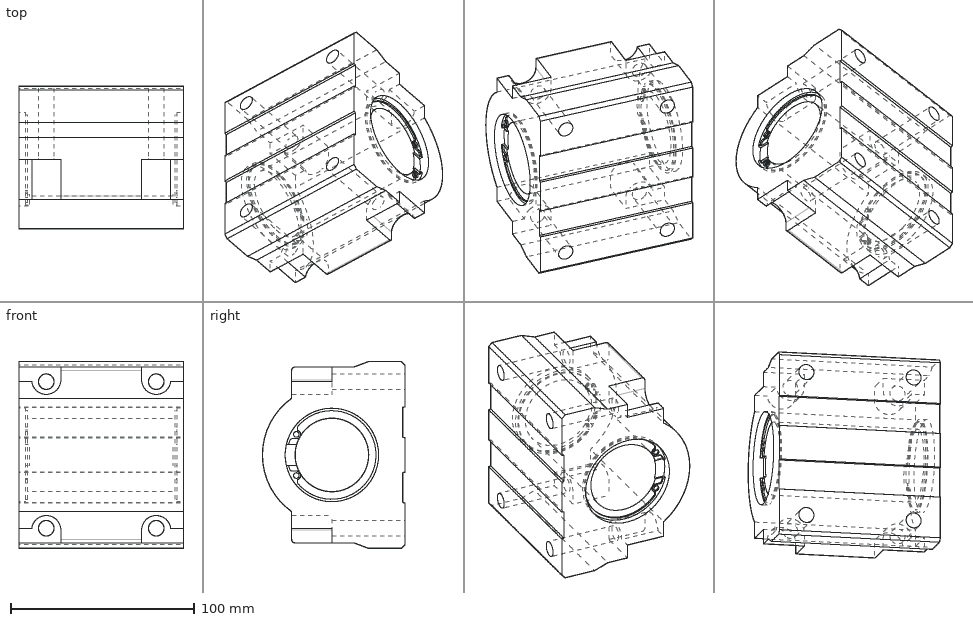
import cadquery as cq
import math

length = 90.0
height = 102.0
back_y = 40.0
back_chamfer = 2.0

flange_height = 96.1
flange_front_y = -22.0
flange_edge_radius = 2.0
taper_back_y = 20.0
taper_front_y = 12.0

nose_radius = 37.9

groove_inner_z = 9.7
groove_outer_z = 25.9
groove_depth = 1.2
groove_flank = 0.3

hole_diameter = 8.4
hole_x = 30.0
hole_z = 40.0
pocket_radius = 8.0
pocket_center_z = 41.0
pocket_floor_y = 0.0

bore_diameter = 40.0
recess_diameter = 51.0
recess_depth = 4.7

ring_thickness = 0.9
ring_inner_radius = 24.2
ring_inner_y = -0.1
ring_gap = 11.5
lug_inner_y = -18.8
lug_y = -19.4
lug_z = 11.2
lug_radius = 2.3
lug_hole_diameter = 3.1
lug_blend_radius = 1.4

slot_depth = 1.0

recess_radius = recess_diameter / 2
recess_floor_x = -length / 2 + recess_depth


def box_between(x_range, y_range, z_range):
    """Axis-aligned box given by its limits along each axis."""
    size_x, size_y, size_z = (high - low for low, high in (x_range, y_range, z_range))
    corner = (x_range[0], y_range[0], z_range[0])
    return cq.Workplane("XY").box(size_x, size_y, size_z, centered=False).translate(corner)


def disc(radius, start_x, thickness, y=0.0, z=0.0):
    """Cylinder along +X, starting at start_x."""
    return cq.Workplane("YZ", origin=(start_x, y, z)).circle(radius).extrude(thickness)


def make_housing():
    top_z = height / 2
    flange_z = flange_height / 2
    nose_z = math.sqrt(nose_radius**2 - flange_front_y**2)
    upper_side = [
        (back_y, top_z - back_chamfer),
        (back_y - back_chamfer, top_z),
        (taper_back_y, top_z),
        (taper_front_y, flange_z),
        (flange_front_y, flange_z),
        (flange_front_y, nose_z),
    ]
    lower_side = [(y, -z) for y, z in reversed(upper_side)]
    profile = (
        cq.Workplane("YZ", origin=(-length / 2, 0, 0))
        .polyline(upper_side)
        .threePointArc((-nose_radius, 0), lower_side[0])
        .polyline(lower_side, includeCurrent=False)
        .close()
    )
    housing = profile.extrude(length)
    for side in (1, -1):
        corner = (0, flange_front_y, side * flange_z)
        housing = housing.edges(cq.selectors.NearestToPointSelector(corner)).fillet(flange_edge_radius)
    return housing


def make_back_groove(side):
    floor_y = back_y - groove_depth
    section = [
        (back_y, side * (groove_inner_z - groove_flank)),
        (floor_y, side * groove_inner_z),
        (floor_y, side * groove_outer_z),
        (back_y, side * (groove_outer_z + groove_flank)),
    ]
    return cq.Workplane("YZ", origin=(-length / 2, 0, 0)).polyline(section).close().extrude(length)


def make_screw_seat(x_side, z_side):
    """Through hole with a round-bottomed head pocket, open to the end and to the flange top."""
    x = x_side * hole_x
    outer_z = z_side * height / 2
    pocket_y = (flange_front_y, pocket_floor_y)
    x_end = x_side * length / 2
    x_wall = x_side * (hole_x - pocket_radius)
    plane = cq.Workplane("XZ", origin=(0, flange_front_y, 0))
    depth = pocket_floor_y - flange_front_y
    round_bottom = plane.center(x, z_side * pocket_center_z).circle(pocket_radius).extrude(-depth)
    open_top = box_between(sorted((x_wall, x)), pocket_y, sorted((z_side * pocket_center_z, outer_z)))
    open_end = box_between(sorted((x, x_end)), pocket_y, sorted((z_side * hole_z, outer_z)))
    hole = plane.center(x, z_side * hole_z).circle(hole_diameter / 2).extrude(flange_front_y - back_y)
    return round_bottom.union(open_top).union(open_end).union(hole)


def make_gap(start_x, depth):
    """Cutter for the opening on the nose side of the bore, as wide as the ring gap."""
    opening = box_between(
        (start_x, start_x + depth),
        (-recess_radius, 0),
        (-ring_gap / 2, ring_gap / 2),
    )
    return opening.intersect(disc(recess_radius, start_x, depth))


def make_retaining_ring():
    """Open ring with two drilled lugs, seated on the recess floor at the -X end."""
    front_x = recess_floor_x - ring_thickness
    full_disc = disc(recess_radius, front_x, ring_thickness)
    ring = full_disc.cut(disc(ring_inner_radius, front_x, ring_thickness, ring_inner_y))
    lug_edge_z = lug_z - lug_radius
    blend_y = ring_inner_y - math.sqrt(ring_inner_radius**2 - lug_edge_z**2)
    for side in (1, -1):
        lug_z_limits = sorted((side * lug_edge_z, side * recess_radius))
        lug = box_between((front_x, recess_floor_x), (-recess_radius, lug_inner_y), lug_z_limits)
        lug_end = disc(lug_radius, front_x, ring_thickness, lug_y, side * lug_z)
        ring = ring.union(lug.intersect(full_disc)).union(lug_end)
        corner = (front_x + ring_thickness / 2, blend_y, side * lug_edge_z)
        ring = ring.edges(cq.selectors.NearestToPointSelector(corner)).fillet(lug_blend_radius)
        ring = ring.cut(disc(lug_hole_diameter / 2, front_x, ring_thickness, lug_y, side * lug_z))
    return ring.cut(make_gap(front_x, ring_thickness))


result = make_housing()
for z_side in (1, -1):
    result = result.cut(make_back_groove(z_side))
    for x_side in (1, -1):
        result = result.cut(make_screw_seat(x_side, z_side))

result = result.cut(disc(bore_diameter / 2, -length / 2, length))
recess = disc(recess_radius, -length / 2, recess_depth).union(make_gap(recess_floor_x, slot_depth))
ring = make_retaining_ring()
result = result.cut(recess).cut(recess.mirror("YZ"))
result = result.union(ring).union(ring.mirror("YZ"))